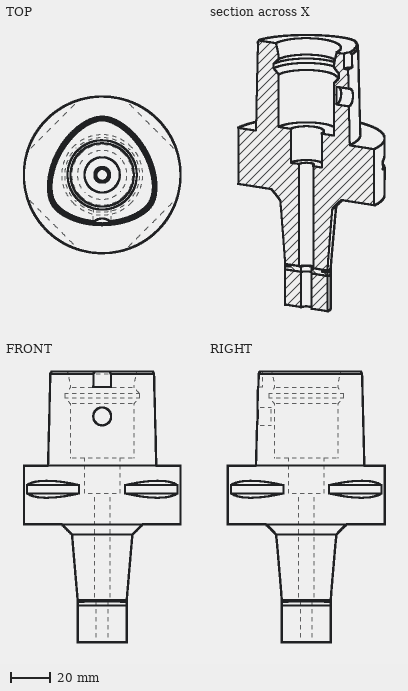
import cadquery as cq
import math

TOTAL_HEIGHT = 138.0
SHANK_LENGTH = 48.0
FLANGE_THICKNESS = 30.0
FLANGE_RADIUS = 40.0
FLANGE_TOP = TOTAL_HEIGHT - SHANK_LENGTH
FLANGE_BOTTOM = FLANGE_TOP - FLANGE_THICKNESS

SHANK_WIDTH = 55.3
LOBE_HEIGHT = 2.0
LOBES = 3
LOBE_DIRECTION = math.pi / 2
TAPER_PER_SIDE = 1 / 40
CURVE_POINTS = 36
TOP_CHAMFER_HEIGHT = 1.2
TOP_CHAMFER_INSET = 0.7

MOUTH_RADIUS = 17.7
BORE_RADIUS = 16.1
MOUTH_DEPTH = 6.8
LIP_BOTTOM_DEPTH = 8.3
UNDERCUT_RADIUS = 19.0
UNDERCUT_END_DEPTH = 16.4
UNDERCUT_SIDE = UNDERCUT_RADIUS - BORE_RADIUS
UNDERCUT_WALL_TOP = LIP_BOTTOM_DEPTH + UNDERCUT_SIDE
UNDERCUT_WALL_END = UNDERCUT_END_DEPTH - UNDERCUT_SIDE
BORE_DEPTH = 44.2
COUNTERBORE_RADIUS = 9.0
COUNTERBORE_DEPTH = 62.1
COOLANT_RADIUS = 4.0

SLOT_RADIUS = 5.8
SLOT_DEPTH = 8.0
SLOT_BACK = 22.2
POCKET_RADIUS = 4.5
POCKET_CENTER_DEPTH = 22.9
POCKET_FLOOR = 18.0

GROOVE_COUNT = 4
GROOVE_FLOOR = 35.3
GROOVE_FLOOR_WIDTH = 4.1
GROOVE_MOUTH_WIDTH = 8.7
GROOVE_CENTER_DEPTH = 12.0
GROOVE_CENTER = FLANGE_TOP - GROOVE_CENTER_DEPTH

CONE_TOP_RADIUS = 20.5
STEM_TOP_RADIUS = 15.5
STEM_END_RADIUS = 12.5
CONE_HEIGHT = CONE_TOP_RADIUS - STEM_TOP_RADIUS
STEM_TOP = FLANGE_BOTTOM - CONE_HEIGHT
STEM_END = 21.5

NECK_RADIUS = 9.4
NECK_LENGTH = 0.8
COLLAR_TOP = STEM_END - NECK_LENGTH
SLEEVE_RADIUS = 12.5
SLEEVE_LENGTH = 18.6
SLEEVE_BORE_RADIUS = 3.0


def polygon_point(angle, width):
    """Point of the constant-width curve whose outward normal points at the angle."""
    phase = LOBES * (angle - LOBE_DIRECTION)
    support = width / 2 + LOBE_HEIGHT * math.cos(phase)
    slope = -LOBES * LOBE_HEIGHT * math.sin(phase)
    return (
        support * math.cos(angle) - slope * math.sin(angle),
        support * math.sin(angle) + slope * math.cos(angle),
    )


def polygon_wire(width, z):
    """Closed smooth outline of the three-lobed shank at one height."""
    start = -math.pi / 2
    points = [
        cq.Vector(*polygon_point(start + 2 * math.pi * i / CURVE_POINTS, width), z)
        for i in range(CURVE_POINTS)
    ]
    return cq.Wire.assembleEdges([cq.Edge.makeSpline(points, periodic=True)])


def make_shank():
    chamfer_z = TOTAL_HEIGHT - TOP_CHAMFER_HEIGHT
    chamfer_width = SHANK_WIDTH - 2 * TAPER_PER_SIDE * (chamfer_z - FLANGE_TOP)
    top_width = chamfer_width - 2 * TOP_CHAMFER_INSET
    base = polygon_wire(SHANK_WIDTH, FLANGE_TOP)
    chamfer_line = polygon_wire(chamfer_width, chamfer_z)
    top = polygon_wire(top_width, TOTAL_HEIGHT)
    taper = cq.Solid.makeLoft([base, chamfer_line], True)
    chamfer = cq.Solid.makeLoft([chamfer_line, top], True)
    return cq.Workplane(taper).union(cq.Workplane(chamfer))


def revolve_profile(points):
    """Body of revolution about Z from (radius, height) points."""
    return cq.Workplane("XZ").polyline(points).close().revolve(360, (0, 0, 0), (0, 1, 0))


def make_flange_and_stem():
    return revolve_profile([
        (0, FLANGE_TOP),
        (FLANGE_RADIUS, FLANGE_TOP),
        (FLANGE_RADIUS, FLANGE_BOTTOM),
        (CONE_TOP_RADIUS, FLANGE_BOTTOM),
        (STEM_TOP_RADIUS, STEM_TOP),
        (STEM_END_RADIUS, STEM_END),
        (0, STEM_END),
    ])


def make_bore():
    return revolve_profile([
        (0, TOTAL_HEIGHT),
        (MOUTH_RADIUS, TOTAL_HEIGHT),
        (BORE_RADIUS, TOTAL_HEIGHT - MOUTH_DEPTH),
        (BORE_RADIUS, TOTAL_HEIGHT - LIP_BOTTOM_DEPTH),
        (UNDERCUT_RADIUS, TOTAL_HEIGHT - UNDERCUT_WALL_TOP),
        (UNDERCUT_RADIUS, TOTAL_HEIGHT - UNDERCUT_WALL_END),
        (BORE_RADIUS, TOTAL_HEIGHT - UNDERCUT_END_DEPTH),
        (BORE_RADIUS, TOTAL_HEIGHT - BORE_DEPTH),
        (COUNTERBORE_RADIUS, TOTAL_HEIGHT - BORE_DEPTH),
        (COUNTERBORE_RADIUS, TOTAL_HEIGHT - COUNTERBORE_DEPTH),
        (COOLANT_RADIUS, TOTAL_HEIGHT - COUNTERBORE_DEPTH),
        (COOLANT_RADIUS, STEM_END),
        (0, STEM_END),
    ])


def make_key_slot():
    return (
        cq.Workplane("XY", origin=(0, -SLOT_BACK - SLOT_RADIUS, TOTAL_HEIGHT - SLOT_DEPTH))
        .circle(SLOT_RADIUS)
        .extrude(SLOT_DEPTH)
    )


def make_pocket():
    return (
        cq.Workplane("XZ", origin=(0, -POCKET_FLOOR, TOTAL_HEIGHT - POCKET_CENTER_DEPTH))
        .circle(POCKET_RADIUS)
        .extrude(SHANK_WIDTH / 2)
    )


def make_gripper_groove(angle):
    floor_half = GROOVE_FLOOR_WIDTH / 2
    mouth_half = GROOVE_MOUTH_WIDTH / 2
    return (
        cq.Workplane("XZ")
        .polyline([
            (GROOVE_FLOOR, GROOVE_CENTER - floor_half),
            (FLANGE_RADIUS, GROOVE_CENTER - mouth_half),
            (FLANGE_RADIUS, GROOVE_CENTER + mouth_half),
            (GROOVE_FLOOR, GROOVE_CENTER + floor_half),
        ])
        .close()
        .extrude(FLANGE_RADIUS, both=True)
        .rotate((0, 0, 0), (0, 0, 1), angle)
    )


def make_holder():
    holder = make_flange_and_stem().union(make_shank())
    holder = holder.cut(make_bore()).cut(make_key_slot()).cut(make_pocket())
    for i in range(GROOVE_COUNT):
        holder = holder.cut(make_gripper_groove((i + 0.5) * 360 / GROOVE_COUNT))
    return holder


def make_coupling():
    return revolve_profile([
        (SLEEVE_BORE_RADIUS, STEM_END),
        (NECK_RADIUS, STEM_END),
        (NECK_RADIUS, COLLAR_TOP),
        (SLEEVE_RADIUS, COLLAR_TOP),
        (SLEEVE_RADIUS, SLEEVE_LENGTH),
        (SLEEVE_BORE_RADIUS, SLEEVE_LENGTH),
    ])


def make_sleeve():
    return revolve_profile([
        (SLEEVE_BORE_RADIUS, SLEEVE_LENGTH),
        (SLEEVE_RADIUS, SLEEVE_LENGTH),
        (SLEEVE_RADIUS, 0),
        (SLEEVE_BORE_RADIUS, 0),
    ])


holder = make_holder()
coupling = make_coupling()
sleeve = make_sleeve()

result = cq.Compound.makeCompound([holder.val(), coupling.val(), sleeve.val()])